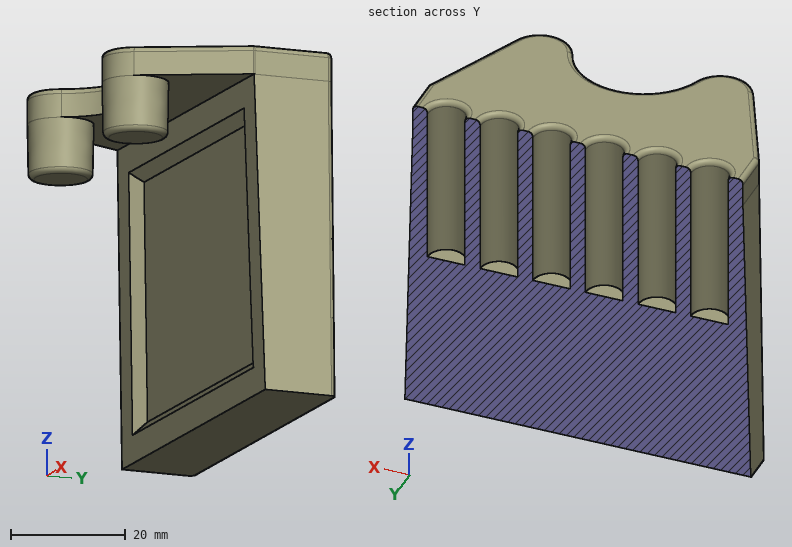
import cadquery as cq
import math

HEIGHT = 62.0
BASE_WIDTH = 65.25
DRAFT_ANGLE = 1.5
EDGE_RADIUS = 1.0

PLATE_THICKNESS = 5.2
PLATE_BOTTOM = HEIGHT - PLATE_THICKNESS
PLATE_SIDE_DEPTH = 14.95
PLATE_CORNER_RADIUS = 0.5
REACH = 37.3

DRAFT_RUN = PLATE_BOTTOM * math.tan(math.radians(DRAFT_ANGLE))
TOP_WIDTH = BASE_WIDTH - 2 * DRAFT_RUN
BASE_DEPTH = PLATE_SIDE_DEPTH - DRAFT_RUN

PEG_RADIUS = 5.8
PEG_X = 17.05
PEG_Y = PEG_RADIUS - REACH
PEG_DRAFT_ANGLE = 1.0
PEG_LENGTH = 9.8
NOTCH_RADIUS = 12.45

RIM_WIDTH = 5.0
RECESS_DEPTH = 2.0
RECESS_SLOPE = 45.0

HOLE_COUNT = 6
HOLE_DIAMETER = 7.0
HOLE_PITCH = 9.9
HOLE_Y = -7.5
HOLE_DEPTH = HEIGHT / 2


def rectangle_outline(width, depth, level):
    """Rectangle with its back edge on Y = 0, at height `level`."""
    return cq.Workplane("XY", origin=(0, -depth / 2, level)).rect(width, depth).wires().val()


def upright_edges_near(y):
    """Selector for the upright or slightly leaning edges centred close to depth `y`."""
    band = 0.65
    slab = cq.selectors.BoxSelector((-BASE_WIDTH, y - band, 0), (BASE_WIDTH, y + band, HEIGHT))
    return slab - cq.selectors.PerpendicularDirSelector(cq.Vector(0, 0, 1))


def make_body():
    """Drafted block that carries the plate."""
    base = rectangle_outline(BASE_WIDTH, BASE_DEPTH, 0)
    top = rectangle_outline(TOP_WIDTH, PLATE_SIDE_DEPTH, PLATE_BOTTOM)
    return cq.Workplane(cq.Solid.makeLoft([base, top], True))


def make_plate():
    """Plate with tapering sides tangent to the peg tips and a tangent round notch between them."""
    half = TOP_WIDTH / 2
    centre_gap = NOTCH_RADIUS + PEG_RADIUS
    notch_y = PEG_Y - math.sqrt(centre_gap**2 - PEG_X**2)

    to_corner_x = half - PEG_X
    to_corner_y = -PLATE_SIDE_DEPTH - PEG_Y
    touch_angle = math.atan2(to_corner_y, to_corner_x) - math.acos(
        PEG_RADIUS / math.hypot(to_corner_x, to_corner_y)
    )
    touch_x = PEG_X + PEG_RADIUS * math.cos(touch_angle)
    touch_y = PEG_Y + PEG_RADIUS * math.sin(touch_angle)

    share = NOTCH_RADIUS / centre_gap
    notch_end_x = PEG_X * share
    notch_end_y = notch_y + (PEG_Y - notch_y) * share
    return (
        cq.Workplane("XY", origin=(0, 0, PLATE_BOTTOM))
        .moveTo(half, 0)
        .lineTo(half, -PLATE_SIDE_DEPTH)
        .lineTo(touch_x, touch_y)
        .threePointArc((PEG_X, -REACH), (notch_end_x, notch_end_y))
        .threePointArc((0, notch_y + NOTCH_RADIUS), (-notch_end_x, notch_end_y))
        .threePointArc((-PEG_X, -REACH), (-touch_x, touch_y))
        .lineTo(-half, -PLATE_SIDE_DEPTH)
        .lineTo(-half, 0)
        .close()
        .extrude(PLATE_THICKNESS)
        .edges(upright_edges_near(-PLATE_SIDE_DEPTH))
        .fillet(PLATE_CORNER_RADIUS)
    )


def make_peg(x):
    """Tapered peg under a plate tip, rounded at its free end."""
    return (
        cq.Workplane("XY", origin=(x, PEG_Y, PLATE_BOTTOM))
        .circle(PEG_RADIUS)
        .extrude(-PEG_LENGTH, taper=PEG_DRAFT_ANGLE)
        .faces("<Z")
        .edges()
        .fillet(EDGE_RADIUS)
    )


def make_recess():
    """Sloping-sided cutter that sinks square into the tilted front face."""
    draft = math.radians(DRAFT_ANGLE)
    front = cq.Plane(
        origin=(0, -BASE_DEPTH, 0),
        xDir=(1, 0, 0),
        normal=(0, -math.cos(draft), -math.sin(draft)),
    )
    bottom = RIM_WIDTH
    top = PLATE_BOTTOM - RIM_WIDTH
    spread = math.tan(draft)
    half_bottom = BASE_WIDTH / 2 - RIM_WIDTH - bottom * spread
    half_top = BASE_WIDTH / 2 - RIM_WIDTH - top * spread
    return (
        cq.Workplane(front)
        .polyline([(-half_bottom, bottom), (half_bottom, bottom), (half_top, top), (-half_top, top)])
        .close()
        .extrude(-RECESS_DEPTH, taper=RECESS_SLOPE)
    )


def make_holes():
    """Row of blind hole cutters across the top."""
    row_start = -HOLE_PITCH * (HOLE_COUNT - 1) / 2
    centres = [(row_start + i * HOLE_PITCH, HOLE_Y) for i in range(HOLE_COUNT)]
    return (
        cq.Workplane("XY", origin=(0, 0, HEIGHT))
        .pushPoints(centres)
        .circle(HOLE_DIAMETER / 2)
        .extrude(-HOLE_DEPTH)
    )


result = make_body().union(make_plate()).edges(upright_edges_near(0)).fillet(EDGE_RADIUS)

result = result.cut(make_holes()).faces(">Z").edges().fillet(EDGE_RADIUS)

result = result.cut(make_recess())
for side in (-1, 1):
    result = result.union(make_peg(side * PEG_X))